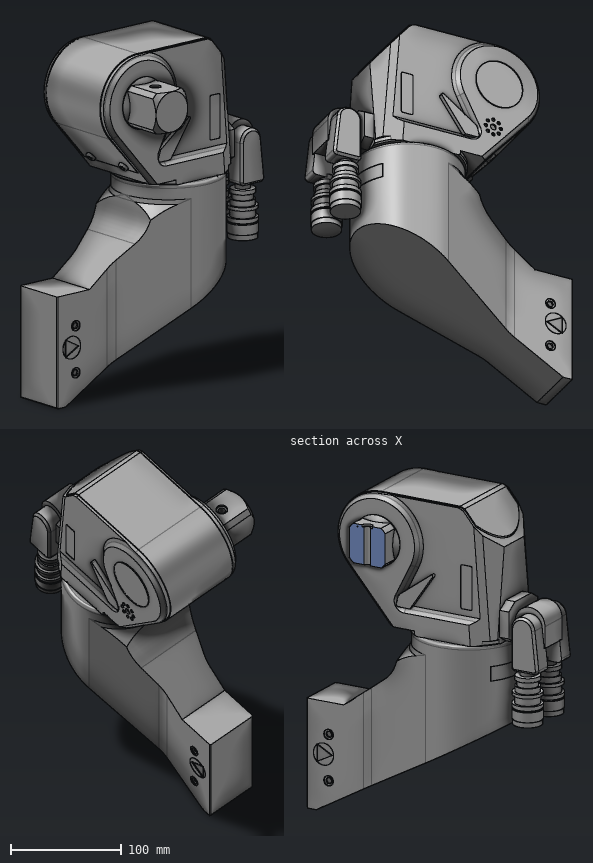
import cadquery as cq
import math


BODY_RADIUS = 52.5
BODY_TOP = 191.8
BODY_EDGE = 3.5
ARM_END_Y = -155.8
ARM_HALF_WIDTH = 25.7
ARM_FLANK_ANGLE = 17.8
ARM_FLANK_BLEND = 30.8
ARM_TOP = 105.5
ARM_TOP_START_Y = -117.0
ARM_SLOPE_ANGLE = 36.4
ARM_NECK_RADIUS = 40.0
UNDERSIDE_ANGLE = 29.8
FOOT_BACK_Y = -145.5
SHOULDER_TOP = 175.0
SHOULDER_BLEND = 2.4
ARM_END_CHAMFER = 1.0

DRIVE_Y = -70.0
DRIVE_Z = 276.5
DRIVE_AXIS = (DRIVE_Y, DRIVE_Z)
BAND_RADIUS = 44.5
BAND_STEP = 1.0
BAND_HALF_WIDTH = 37.3
BAND_FRONT_END = 208.5
HEAD_HALF_WIDTH = 45.3
FLOOR_HALF_WIDTH = 39.8
HEAD_UNDERSIDE = 196.5
HEAD_FRONT_Y = -58.0
HEAD_BACK_Y = 47.5
HEAD_TOP_BACK_Y = 13.0
HEAD_BEVEL_BACK_Y = 17.7
HEAD_SLOPE_END_Z = 284.0
HEAD_SLOPE_ANGLE = 50.0
BACK_CORNER_LEAN = 4.5
NECK_RADIUS = 54.5
NECK_CHAMFER = 1.3

CHEEK_RADIUS = 45.5
CHEEK_STEPS = ((2.0, 3.0), (3.5, 3.2))
CHEEK_FRONT_Y = -60.7
CHEEK_LEDGE_Z = 218.0
CHEEK_CORNER_Y = -48.5
CHEEK_CORNER_ROUND = 4.2

DRIVE_SIZE = 38.2
DRIVE_END_X = 85.5
DRIVE_CORNER_RADIUS = 24.0
PIN_HOLE_X = 62.5

SWIVEL_Y = 73.2
SWIVEL_Z = 212.5
SWIVEL_RADIUS = 15.7
HOSE_X = 18.5
HOSE_Y = 73.0

REACH = 192.7
ABOVE_HEAD = 353.3


def tangent_point(center, radius, point, side):
    """Touch point on a circle of the line drawn from an outside point (side = +1 or -1)."""
    dy = point[0] - center[0]
    dz = point[1] - center[1]
    angle = math.atan2(dz, dy) + side * math.acos(radius / math.hypot(dy, dz))
    return on_circle(center, radius, angle)


def on_circle(center, radius, angle):
    """Point on a circle at an angle in radians."""
    return (center[0] + radius * math.cos(angle), center[1] + radius * math.sin(angle))


def box(x0, x1, y0, y1, z0, z1):
    return cq.Workplane("XY").box(x1 - x0, y1 - y0, z1 - z0, centered=False).translate((x0, y0, z0))


def cylinder_x(y, z, radius, x0, x1):
    return cq.Workplane("YZ", origin=(x0, 0, 0)).center(y, z).circle(radius).extrude(x1 - x0)


def both_sides(shape):
    return shape.union(shape.mirror("YZ"))


def reaction_body():
    """Round column with a tapering arm, hollowed at the neck and cut off along a sloping underside."""
    column = cq.Workplane("XY").circle(BODY_RADIUS).extrude(BODY_TOP).faces(">Z").edges().fillet(BODY_EDGE)

    flank = math.radians(ARM_FLANK_ANGLE)
    touch_x = BODY_RADIUS * math.cos(flank)
    touch_y = -BODY_RADIUS * math.sin(flank)
    bend_y = touch_y - (touch_x - ARM_HALF_WIDTH) / math.tan(flank)
    plan = [
        (touch_x, touch_y),
        (ARM_HALF_WIDTH, bend_y),
        (ARM_HALF_WIDTH, ARM_END_Y),
        (-ARM_HALF_WIDTH, ARM_END_Y),
        (-ARM_HALF_WIDTH, bend_y),
        (-touch_x, touch_y),
    ]
    arm = cq.Workplane("XY").polyline(plan).close().extrude(SHOULDER_TOP + SHOULDER_BLEND)
    bends = cq.selectors.BoxSelector((-REACH, bend_y - 3.2, 0), (REACH, bend_y + 3.2, BODY_TOP))
    arm = arm.edges(bends).fillet(ARM_FLANK_BLEND)
    arm = arm.faces("<Y").edges().chamfer(ARM_END_CHAMFER)

    slope = math.radians(ARM_SLOPE_ANGLE)
    neck_end_y = -BODY_RADIUS - ARM_NECK_RADIUS * (1 - math.sin(slope))
    neck_end_z = ARM_TOP + (neck_end_y - ARM_TOP_START_Y) * math.tan(slope)
    neck_center = (-BODY_RADIUS - ARM_NECK_RADIUS, neck_end_z + ARM_NECK_RADIUS * math.cos(slope))
    middle = on_circle(neck_center, ARM_NECK_RADIUS, (slope - math.pi / 2) / 2)
    above = (
        cq.Workplane("YZ", origin=(-REACH, 0, 0))
        .moveTo(-BODY_RADIUS, BODY_TOP)
        .lineTo(-BODY_RADIUS, neck_center[1])
        .threePointArc(middle, (neck_end_y, neck_end_z))
        .lineTo(ARM_TOP_START_Y, ARM_TOP)
        .lineTo(-REACH, ARM_TOP)
        .lineTo(-REACH, BODY_TOP)
        .close()
        .extrude(2 * REACH)
    )

    cone_reach = 28.0
    diagonal = SHOULDER_BLEND * math.sqrt(0.5)
    shoulder = (
        cq.Workplane("XZ")
        .moveTo(BODY_RADIUS, BODY_TOP)
        .lineTo(BODY_RADIUS, SHOULDER_TOP + SHOULDER_BLEND)
        .tangentArcPoint((BODY_RADIUS + diagonal, SHOULDER_TOP - diagonal), relative=False)
        .lineTo(BODY_RADIUS + cone_reach, SHOULDER_TOP - cone_reach)
        .lineTo(BODY_RADIUS + cone_reach, BODY_TOP)
        .close()
        .revolve(360, (0, 0, 0), (0, 1, 0))
    )
    arm = arm.cut(above).cut(shoulder)

    back = BODY_RADIUS + 3.2
    rise = (back - FOOT_BACK_Y) * math.tan(math.radians(UNDERSIDE_ANGLE))
    below = (
        cq.Workplane("YZ", origin=(-REACH, 0, 0))
        .polyline([(FOOT_BACK_Y, 0), (back, rise), (back, -3.2), (FOOT_BACK_Y, -3.2)])
        .close()
        .extrude(2 * REACH)
    )
    body = column.union(arm).cut(below)
    return arm_end_details(body.cut(back_panel()))


def back_panel():
    """Shallow curved panel sunk into the back of the column."""
    panel_depth = 0.48
    half_width = 31.5
    outside = BODY_RADIUS + 3.2
    bottom = 157.0
    top = 171.0
    ring = cq.Workplane("XY", origin=(0, 0, bottom)).circle(outside).circle(BODY_RADIUS - panel_depth)
    ring = ring.extrude(top - bottom)
    return ring.intersect(box(-half_width, half_width, 0, outside, bottom, top))


def arm_end_details(body):
    """Two sunk socket screws and a round recess with a triangular pocket on each side of the arm end."""
    screw_y = -133.0
    screw_heights = (30.0, 74.2)
    screw_radius = 4.8
    socket_size = 6.5
    head_recess = 1.0
    socket_depth = 2.5
    side = cq.Workplane("YZ", origin=(ARM_HALF_WIDTH, 0, 0))
    cuts = cq.Workplane("YZ")
    for z in screw_heights:
        recess = side.center(screw_y, z).circle(screw_radius).extrude(-head_recess)
        socket = side.center(screw_y, z).polygon(6, socket_size).extrude(-socket_depth)
        cuts = cuts.add(recess).add(socket)

    mark_radius = 10.5
    mark_depth = 0.3
    triangle_tip = 8.7
    triangle_base = -7.0
    triangle_half_height = 8.5
    triangle_depth = 1.3
    mark = side.center(-138.0, 54.5)
    triangle = mark.polyline(
        [(triangle_tip, 0), (triangle_base, triangle_half_height), (triangle_base, -triangle_half_height)]
    )
    cuts = cuts.add(mark.circle(mark_radius).extrude(-mark_depth)).add(triangle.close().extrude(-triangle_depth))
    for cutter in cuts.vals():
        body = body.cut(cq.Workplane(cutter)).cut(cq.Workplane(cutter.mirror("YZ")))
    return body


def head_prism(inset, half_width):
    """Side outline of the head, rounded about the drive axis, extruded across X."""
    radius = BAND_RADIUS - inset
    front = (HEAD_FRONT_Y, HEAD_UNDERSIDE)
    touch = tangent_point(DRIVE_AXIS, radius, front, -1)
    slope = math.radians(HEAD_SLOPE_ANGLE)
    slope_end = HEAD_SLOPE_END_Z - inset / math.cos(slope)
    bevel_end = slope_end + (HEAD_BACK_Y - HEAD_BEVEL_BACK_Y) * math.tan(slope)
    return (
        cq.Workplane("YZ", origin=(-half_width, 0, 0))
        .moveTo(*front)
        .lineTo(*touch)
        .threePointArc(on_circle(DRIVE_AXIS, radius, math.radians(150)), (DRIVE_Y, DRIVE_Z + radius))
        .lineTo(HEAD_TOP_BACK_Y, DRIVE_Z + radius)
        .lineTo(HEAD_BEVEL_BACK_Y, bevel_end)
        .lineTo(HEAD_BACK_Y, slope_end)
        .lineTo(HEAD_BACK_Y, HEAD_UNDERSIDE)
        .close()
        .extrude(2 * half_width)
    )


def cheek():
    """Raised +X cheek: a teardrop around the drive joined to a band along the underside."""
    wide = 64.2
    deep = 160.5
    corner = (CHEEK_CORNER_Y, CHEEK_LEDGE_Z)
    wall_touch = tangent_point(DRIVE_AXIS, CHEEK_RADIUS, corner, 1)
    front_touch = tangent_point(DRIVE_AXIS, CHEEK_RADIUS, (CHEEK_FRONT_Y, HEAD_UNDERSIDE), -1)
    drop = (HEAD_UNDERSIDE - deep) / (front_touch[1] - HEAD_UNDERSIDE)
    toe_y = CHEEK_FRONT_Y - (front_touch[0] - CHEEK_FRONT_Y) * drop
    outline = (
        cq.Workplane("YZ", origin=(FLOOR_HALF_WIDTH, 0, 0))
        .moveTo(*wall_touch)
        .threePointArc(on_circle(DRIVE_AXIS, CHEEK_RADIUS, math.radians(90)), front_touch)
        .lineTo(toe_y, deep)
        .lineTo(wide, deep)
        .lineTo(wide, CHEEK_LEDGE_Z)
        .lineTo(*corner)
        .close()
        .wire()
        .val()
    )
    corner_point = cq.Vector(FLOOR_HALF_WIDTH, *corner)
    corner_vertex = min(outline.Vertices(), key=lambda vertex: (vertex.Center() - corner_point).Length)
    outline = outline.fillet2D(CHEEK_CORNER_ROUND, [corner_vertex])

    solid = cq.Workplane("YZ")
    foot_x = FLOOR_HALF_WIDTH
    for height, lean in CHEEK_STEPS:
        taper = math.degrees(math.atan2(lean, height))
        plane = cq.Workplane("YZ", origin=(foot_x, 0, 0))
        step = plane.add(outline).toPending().extrude(height, taper=taper)
        outline = step.faces(">X").wires().val()
        foot_x += height
        solid = solid.union(step)
    return solid


def back_corners():
    """Block whose rear corners carry two facets each, leaning forward towards the top."""
    lean = math.tan(math.radians(BACK_CORNER_LEAN))
    plan = [(HEAD_HALF_WIDTH, 28.3), (36.0, 44.0), (0, 65.0), (-36.0, 44.0), (-HEAD_HALF_WIDTH, 28.3)]
    shift = (ABOVE_HEAD - BODY_TOP) * lean

    def section(z, back):
        rear = [(x, y - back) for x, y in plan]
        points = [(HEAD_HALF_WIDTH, -REACH)] + rear + [(-HEAD_HALF_WIDTH, -REACH)]
        return cq.Wire.makePolygon([cq.Vector(x, y, z) for x, y in points], close=True)

    return cq.Workplane(cq.Solid.makeLoft([section(BODY_TOP, 0), section(ABOVE_HEAD, shift)], True))


def head():
    """Drive head: recessed flanks, raised cheeks and band, ribs, name plates and swivel neck."""
    core = head_prism(BAND_STEP, FLOOR_HALF_WIDTH)
    cheeks = both_sides(cheek()).intersect(head_prism(BAND_STEP, HEAD_HALF_WIDTH))

    band_back_radius = 55.2
    band_back_y = 43.7
    band_height = ABOVE_HEAD - BAND_FRONT_END
    band_limits = box(-BAND_HALF_WIDTH, BAND_HALF_WIDTH, -REACH, 0, BAND_FRONT_END, ABOVE_HEAD).union(
        cq.Workplane("XY", origin=(0, band_back_y - band_back_radius, BAND_FRONT_END))
        .circle(band_back_radius)
        .extrude(band_height)
        .intersect(box(-BAND_HALF_WIDTH, BAND_HALF_WIDTH, -REACH, REACH, BAND_FRONT_END, ABOVE_HEAD))
    )
    band = head_prism(0, BAND_HALF_WIDTH).intersect(band_limits)

    rib_half_width = 44.3
    rib_tip_round = 1.3
    rib_outline = [(-8.0, 257.0), (-36.0, 216.5), (-51.5, 216.5), (-48.0, 228.0)]
    rib = (
        cq.Workplane("YZ", origin=(-rib_half_width, 0, 0))
        .polyline(rib_outline)
        .close()
        .extrude(2 * rib_half_width)
        .edges("|X and >Y")
        .fillet(rib_tip_round)
    )

    plate_thickness = 0.3
    plate_half_width = FLOOR_HALF_WIDTH + plate_thickness
    plate_corner = 1.5
    plate = box(-plate_half_width, plate_half_width, 15.0, 27.0, 224.5, 266.5)
    plate = plate.edges("|X").fillet(plate_corner)

    neck_height = HEAD_UNDERSIDE - BODY_TOP
    neck = cq.Workplane("XY", origin=(0, 0, BODY_TOP)).circle(NECK_RADIUS).extrude(neck_height)
    neck = neck.faces("<Z").edges().chamfer(NECK_CHAMFER)
    neck = neck.intersect(box(-HEAD_HALF_WIDTH, HEAD_HALF_WIDTH, -REACH, HEAD_BACK_Y, 0, ABOVE_HEAD))

    solid = core.union(cheeks).union(band).union(rib).union(plate).union(neck)
    return solid.intersect(back_corners())


def front_screws():
    """Two button-head screws on the sloping front face of the head."""
    screw_x = 22.5
    screw_z = 213.0
    button_radius = 4.8
    button_height = 3.0
    button_round = 2.0
    root = 1.5
    socket_size = 5.0
    touch = tangent_point(DRIVE_AXIS, BAND_RADIUS, (HEAD_FRONT_Y, HEAD_UNDERSIDE), -1)
    along_y = touch[0] - HEAD_FRONT_Y
    along_z = touch[1] - HEAD_UNDERSIDE
    screw_y = HEAD_FRONT_Y + along_y * (screw_z - HEAD_UNDERSIDE) / along_z
    screws = cq.Workplane("XY")
    for x in (-screw_x, screw_x):
        plane = cq.Plane(origin=(x, screw_y, screw_z), xDir=(1, 0, 0), normal=(0, -along_z, along_y))
        button = cq.Workplane(plane).workplane(offset=-root).circle(button_radius)
        button = button.extrude(root + button_height)
        button = button.faces(cq.selectors.DirectionMinMaxSelector(plane.zDir)).edges().fillet(button_round)
        socket = cq.Workplane(plane).polygon(6, socket_size).extrude(2 * button_height)
        screws = screws.union(button.cut(socket))
    return screws


def side_vents():
    """Ring of small blind holes around a centre hole on the -X cheek."""
    vent_y = -64.2
    vent_z = 230.5
    depth = 1.5
    ring_radius = 7.7
    vent_radius = 1.5
    center_radius = 3.0
    face = cq.Workplane("YZ", origin=(-HEAD_HALF_WIDTH, 0, 0)).center(vent_y, vent_z)
    ring = face.polarArray(ring_radius, 0, 360, 8).circle(vent_radius).extrude(depth)
    return ring.union(face.circle(center_radius).extrude(depth))


def square_drive():
    """Square with turned corners and a bevelled end, a flared collar and a vertical pin hole."""
    collar_end = 49.8
    collar_radius = 24.5
    collar_flare = (4.0, 5.5)
    end_bevel = (4.2, 5.0)
    half = DRIVE_SIZE / 2
    root = HEAD_HALF_WIDTH - 3.2
    hole_radius = 3.2
    sink_radius = 5.0
    sink_depth = 2.0
    square = box(root, DRIVE_END_X, DRIVE_Y - half, DRIVE_Y + half, DRIVE_Z - half, DRIVE_Z + half)
    turned = cylinder_x(DRIVE_Y, DRIVE_Z, DRIVE_CORNER_RADIUS, root, DRIVE_END_X)
    turned = turned.faces(">X").edges().chamfer(*end_bevel)
    collar = cylinder_x(DRIVE_Y, DRIVE_Z, collar_radius, root, collar_end)
    collar = collar.faces(">X").edges().chamfer(*collar_flare)
    drive = square.intersect(turned).union(collar)

    hole = cq.Workplane("XY", origin=(PIN_HOLE_X, DRIVE_Y, 0)).circle(hole_radius).extrude(ABOVE_HEAD)
    sink = cq.Workplane("XY", origin=(PIN_HOLE_X, DRIVE_Y, DRIVE_Z + half))
    sink = sink.circle(sink_radius).extrude(-sink_depth)
    return drive.cut(hole).cut(sink)


def drive_cap():
    """Round cap standing slightly proud of the -X cheek on the drive axis."""
    cap_radius = 23.8
    cap_step = 1.0
    return cylinder_x(DRIVE_Y, DRIVE_Z, cap_radius, -HEAD_HALF_WIDTH - cap_step, -FLOOR_HALF_WIDTH)


def swivel():
    """Eight-sided mounting block with a round-topped swivel barrel and two hose legs."""
    mount_half_width = 25.7
    mount_back = 57.2
    barrel_half_width = 15.0
    mount_front = HEAD_BACK_Y - 6.5
    mount_flat_half_width = 14.5
    mount_half_height = 19.5
    mount_side_half_height = 13.0
    mount_outline = [
        (mount_flat_half_width, mount_half_height),
        (mount_half_width, mount_side_half_height),
        (mount_half_width, -mount_side_half_height),
        (mount_flat_half_width, -mount_half_height),
        (-mount_flat_half_width, -mount_half_height),
        (-mount_half_width, -mount_side_half_height),
        (-mount_half_width, mount_side_half_height),
        (-mount_flat_half_width, mount_half_height),
    ]
    mount = (
        cq.Workplane("XZ", origin=(0, mount_front, BODY_TOP + mount_half_height))
        .polyline(mount_outline)
        .close()
        .extrude(mount_front - mount_back)
    )
    barrel = (
        cq.Workplane("YZ", origin=(-barrel_half_width, 0, 0))
        .moveTo(mount_back - 3.2, BODY_TOP)
        .lineTo(mount_back - 3.2, SWIVEL_Z)
        .lineTo(SWIVEL_Y - SWIVEL_RADIUS, SWIVEL_Z)
        .threePointArc((SWIVEL_Y, SWIVEL_Z + SWIVEL_RADIUS), (SWIVEL_Y + SWIVEL_RADIUS, SWIVEL_Z))
        .lineTo(SWIVEL_Y + SWIVEL_RADIUS, BODY_TOP)
        .close()
        .extrude(2 * barrel_half_width)
    )
    return mount.union(barrel).union(both_sides(hose_leg().union(coupling())))


def hose_leg():
    """Elbow leg of the +X hose: round top, slightly flared towards its foot."""
    inner = 12.2
    outer = 30.2
    center = (74.0, 210.5)
    radius = 12.2
    foot = 170.0
    foot_round = 4.0
    face_bevel = 2.2
    foot_back = (90.5, foot)
    front_y = center[0] - radius
    touch = tangent_point(center, radius, foot_back, 1)
    leg = (
        cq.Workplane("YZ", origin=(inner, 0, 0))
        .moveTo(front_y, foot)
        .lineTo(front_y, center[1])
        .threePointArc((center[0], center[1] + radius), touch)
        .lineTo(*foot_back)
        .close()
        .extrude(outer - inner)
    )
    leg = leg.edges("|X").edges("<Z").fillet(foot_round)
    return leg.faces(">X").edges().chamfer(face_bevel)


def coupling():
    """Quick coupling hanging below the +X leg, as stacked turned sections (radius, bottom height)."""
    sections = [
        (7.0, 165.0),
        (12.0, 161.0),
        (10.0, 155.0),
        (11.5, 149.7),
        (14.0, 146.5),
        (12.0, 138.8),
        (14.5, 134.5),
        (13.8, 133.3),
        (14.5, 123.5),
        (13.8, 118.5),
    ]
    top = 173.5
    stack = cq.Workplane("XY")
    for radius, bottom in sections:
        stack = stack.union(
            cq.Workplane("XY", origin=(HOSE_X, HOSE_Y, bottom)).circle(radius).extrude(top - bottom)
        )
        top = bottom
    return stack


result = reaction_body().union(head()).union(drive_cap()).union(square_drive())
result = result.union(front_screws()).cut(side_vents()).union(swivel())